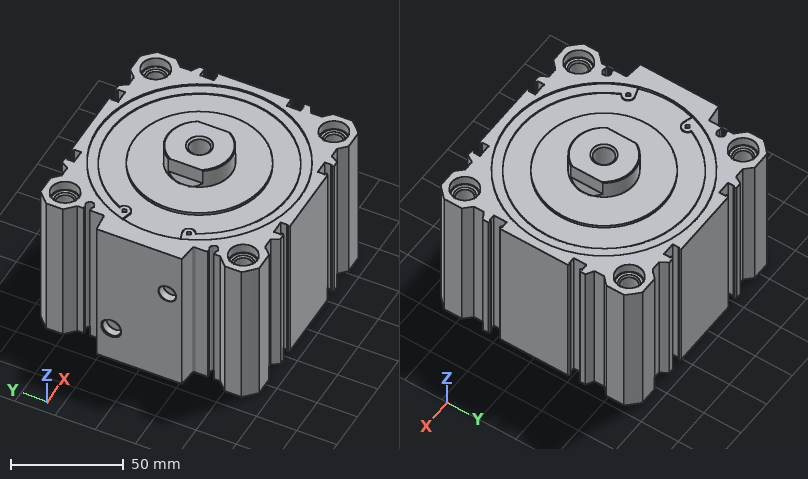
import cadquery as cq
import math

half_side = 54.5
housing_height = 77.0
corner_diameter = 146.0

relief_depth = 3.9
relief_outer = 39.0
relief_inner = 27.7
relief_flank_run = 2.3
slot_centre = 21.6
slot_depth = 4.8
slot_width = 6.8
slot_mouth_width = 5.2
slot_lip = 1.4
slot_mouth_chamfer = 0.7

flank_depth = 4.8
flank_outer = 40.3
pad_height = 4.5
pad_half_width = 21.2
pad_root_half_width = 22.2
pad_root_fillet = 0.7
groove_offset = 30.9
groove_width = 3.2
groove_bulb_diameter = 4.1
groove_bulb_depth = 3.1

port_offset = 14.0
port_depth = 4.3
upper_port_z = 52.4
upper_port_diameter = 8.5
upper_port_mouth_diameter = 8.9
lower_port_z = 19.0
lower_port_diameter = 9.1
lower_port_mouth_diameter = 10.1

mount_offset = 44.4
counterbore_diameter = 13.7
counterbore_depth = 5.0
seat_diameter = 12.9
seat_step = 0.1
mount_diameter = 8.5
mount_chamfer_diameter = 10.1

bore_diameter = 100.0
ring_inner_diameter = 90.0
ring_drop = 0.9
cover_drop = 1.5
boss_diameter = 65.0
boss_height = 1.4
ring_hole_diameter = 2.0
ring_hole_depth = 1.7
lug_radius = 3.1
lug_angle = 20.9

rod_diameter = 32.0
rod_projection = 10.1
rod_socket_depth = 34.0
rod_flat_width = 27.0
rod_flat_height = 8.0
rod_flat_slope = 50.0
rod_chamfer = 0.5
rod_thread_diameter = 10.1
rod_thread_depth = 22.7
rod_thread_chamfer = 1.0


def mirrored_y(points):
    return [(x, -y) for x, y in points]


def prism(points):
    return cq.Workplane("XY").polyline(points).close().extrude(housing_height)


def disc(diameter, z_bottom, z_top):
    return cq.Workplane("XY").workplane(offset=z_bottom).circle(diameter / 2).extrude(z_top - z_bottom)


def corner_relief():
    """Trapezoidal relief in the +X face, on its +Y half."""
    floor = half_side - relief_depth
    return [
        (half_side, relief_outer),
        (floor, relief_outer - relief_depth),
        (floor, relief_inner + relief_flank_run),
        (half_side, relief_inner),
    ]


def t_slot():
    """T-slot in the +X face, on its +Y half, with a chamfered mouth."""
    half_mouth = slot_mouth_width / 2
    flared = half_mouth + slot_mouth_chamfer
    mouth_start = half_side - slot_mouth_chamfer
    lip_end = half_side - slot_lip
    floor = half_side - slot_depth
    side = [
        (half_side, flared),
        (mouth_start, half_mouth),
        (lip_end, half_mouth),
        (lip_end, slot_width / 2),
        (floor, slot_width / 2),
    ]
    outline = side + mirrored_y(side)[::-1]
    return [(x, y + slot_centre) for x, y in outline]


def cut_profiled_faces(body):
    for angle in (0, 90, -90):
        for outline in (corner_relief(), t_slot()):
            for points in (outline, mirrored_y(outline)):
                body = body.cut(prism(points).rotate((0, 0, 0), (0, 0, 1), angle))
    return body


def shape_port_side(body):
    flank_x = -half_side + flank_depth
    lowered = [
        (-half_side, flank_outer),
        (flank_x, flank_outer - flank_depth),
    ]
    body = body.cut(prism(lowered + mirrored_y(lowered)[::-1]))
    pad = [
        (-half_side - pad_height, pad_half_width),
        (flank_x, pad_root_half_width),
    ]
    body = body.union(prism(pad + mirrored_y(pad)[::-1]))
    for y in (pad_root_half_width, -pad_root_half_width):
        root = cq.selectors.NearestToPointSelector((flank_x, y, housing_height / 2))
        body = body.edges("|Z").edges(root).fillet(pad_root_fillet)
    for side in (1, -1):
        y = side * groove_offset
        bulb_x = flank_x + groove_bulb_depth
        bulb = cq.Workplane("XY").center(bulb_x, y).circle(groove_bulb_diameter / 2).extrude(housing_height)
        throat = (
            cq.Workplane("XY")
            .center(flank_x + groove_bulb_depth / 2, y)
            .rect(groove_bulb_depth, groove_width)
            .extrude(housing_height)
        )
        body = body.cut(bulb).cut(throat)
    return body


def cut_port(body, y, z, diameter, mouth_diameter):
    """Flat-bottomed port in the pad face with a 45 degree chamfer at its mouth."""
    mouth = cq.Workplane("YZ", origin=(-half_side - pad_height, y, z))
    chamfer = (mouth_diameter - diameter) / 2
    body = body.cut(mouth.circle(diameter / 2).extrude(port_depth))
    return body.cut(mouth.circle(mouth_diameter / 2).extrude(chamfer, taper=45))


def cut_mounting_holes(body):
    corners = [(x, y) for x in (-mount_offset, mount_offset) for y in (-mount_offset, mount_offset)]
    seat_z = housing_height - counterbore_depth
    chamfer = (mount_chamfer_diameter - mount_diameter) / 2
    for x, y in corners:
        seat = cq.Workplane("XY", origin=(x, y, seat_z))
        body = body.cut(disc(mount_diameter, 0, housing_height).translate((x, y, 0)))
        body = body.cut(seat.circle(seat_diameter / 2).extrude(counterbore_depth))
        wall = seat.workplane(offset=seat_step).circle(counterbore_diameter / 2)
        body = body.cut(wall.extrude(counterbore_depth))
        body = body.cut(seat.circle(mount_chamfer_diameter / 2).extrude(-chamfer, taper=45))
    return body


def retaining_ring():
    """C-shaped ring with a holed lug at each end, its gap facing -X."""
    bottom = housing_height - cover_drop
    top = housing_height - ring_drop
    ring_inner_radius = ring_inner_diameter / 2
    end_angle = math.radians(lug_angle) - math.asin(lug_radius / ring_inner_radius)
    reach = bore_diameter
    ring = disc(bore_diameter, bottom, top)
    ring = ring.cut(disc(ring_inner_diameter, bottom, top))
    gap_corner = (-reach, reach * math.tan(end_angle))
    gap = prism([(0, 0), gap_corner, *mirrored_y([gap_corner])])
    lug_x = -ring_inner_radius * math.cos(math.radians(lug_angle))
    lug_y = ring_inner_radius * math.sin(math.radians(lug_angle))
    places = [(lug_x, lug_y), (lug_x, -lug_y)]
    plane = cq.Workplane("XY", origin=(0, 0, bottom)).pushPoints(places)
    ring = ring.union(plane.circle(lug_radius).extrude(top - bottom)).cut(gap)
    holes = (
        cq.Workplane("XY", origin=(0, 0, top))
        .pushPoints(places)
        .circle(ring_hole_diameter / 2)
        .extrude(-ring_hole_depth)
    )
    return ring, holes


def add_rod_cover(body):
    cover_z = housing_height - cover_drop
    body = body.cut(disc(bore_diameter, cover_z, housing_height))
    body = body.union(disc(boss_diameter, cover_z, cover_z + boss_height))
    ring, holes = retaining_ring()
    return body.union(ring).cut(holes)


def make_housing():
    side = 2 * half_side
    body = cq.Workplane("XY").rect(side, side).extrude(housing_height)
    body = body.intersect(disc(corner_diameter, 0, housing_height))
    body = cut_profiled_faces(body)
    body = shape_port_side(body)
    body = cut_port(body, -port_offset, upper_port_z, upper_port_diameter, upper_port_mouth_diameter)
    body = cut_port(body, port_offset, lower_port_z, lower_port_diameter, lower_port_mouth_diameter)
    body = cut_mounting_holes(body)
    body = add_rod_cover(body)
    return body.cut(disc(rod_diameter, housing_height - rod_socket_depth, housing_height))


def make_rod():
    bottom = housing_height - rod_socket_depth
    top = housing_height + rod_projection
    rod = disc(rod_diameter, bottom, top).faces(">Z").chamfer(rod_chamfer)
    flat_x = rod_flat_width / 2
    flat_z = top - rod_flat_height
    outside_x = rod_diameter / 2
    slope_drop = (outside_x - flat_x) * math.tan(math.radians(rod_flat_slope))
    for side in (1, -1):
        outline = [
            (side * flat_x, top),
            (side * flat_x, flat_z),
            (side * outside_x, flat_z - slope_drop),
            (side * outside_x, top),
        ]
        wedge = cq.Workplane("XZ").polyline(outline).close().extrude(rod_diameter / 2, both=True)
        rod = rod.cut(wedge)
    rod_end = cq.Workplane("XY", origin=(0, 0, top))
    rod = rod.cut(rod_end.circle(rod_thread_diameter / 2).extrude(-rod_thread_depth))
    mouth_radius = rod_thread_diameter / 2 + rod_thread_chamfer
    return rod.cut(rod_end.circle(mouth_radius).extrude(-rod_thread_chamfer, taper=45))


housing = make_housing().solids()
rod = make_rod().solids()
result = cq.Compound.makeCompound([housing.val(), rod.val()])